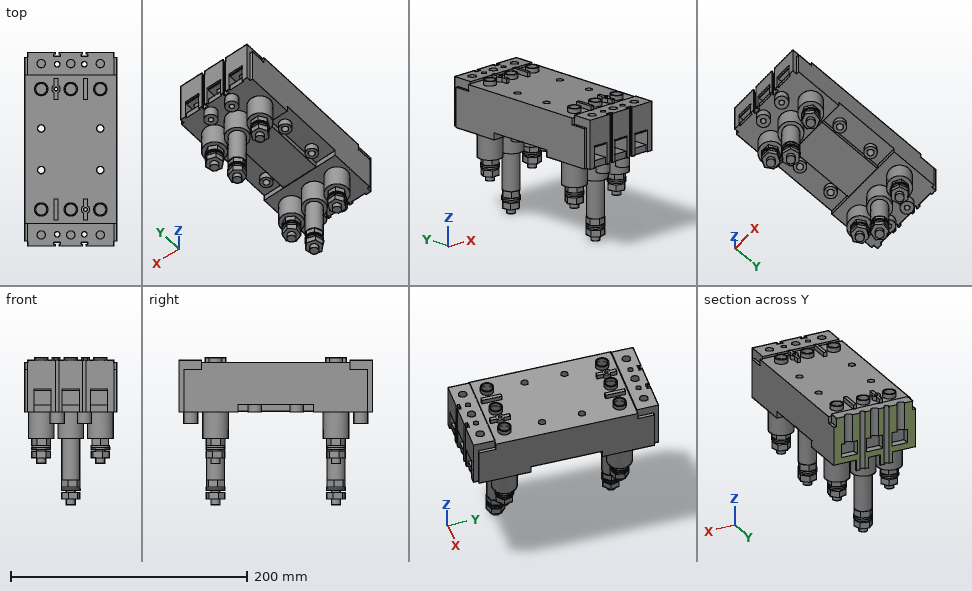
import cadquery as cq

body_width = 78.2
body_length = 155.5
body_height = 42.0
end_width = 73.0
overall_length = 164.0
end_height = 44.0
end_depth = 19.2
shoulder_height = 36.0
end_inner_y = overall_length / 2 - end_depth

pole_pitch = 25.0
pole_x = (-pole_pitch, 0.0, pole_pitch)
stud_y = 51.0

relief_length = 63.5
relief_height = 6.2
core_width = 36.0
core_clearance = 0.5
mount_y = 17.6
mount_boss_diameter = 11.4
mount_hole_diameter = 6.0

screw_y = 72.5
screw_hole_diameter = 7.0
opening_x = (-24.0, 0.0, 24.0)
opening_width = 14.6
opening_height = 19.6
opening_setback = 1.5
chamber_floor = 6.0
chamber_ceiling = 18.1
chamber_depth = 16.0
slot_x = 11.6
slot_neck_width = 3.0
slot_wide_width = 5.3
slot_neck_depth = 1.4
slot_depth = 3.2
post_x = 11.5
post_y = 72.0
post_diameter = 12.0
post_length = 9.8
post_hole_diameter = 4.5

raised_top = 46.0
collar_diameter = 11.4
collar_bore = 9.4
collar_bore_depth = 12.0
key_x = 12.5
key_width = 3.0
key_length = 17.6
key_boss_diameter = 7.0
key_hole_diameter = 3.0

sleeve_diameter = 22.0
sleeve_bottom = -22.5
tube_diameter = 15.5
tube_length = 35.0
stud_diameter = 7.7
stud_bottom = -43.5
hex_corner_diameter = 16.1
upper_nut_height = 6.0
washer_diameter = 16.1
lock_washer_diameter = 16.0
washer_thickness = 1.5
lower_nut_top = -33.0
lower_nut_height = 5.7
stud_specs = (
    (-pole_pitch, 0.0, 2.0, -1.0),
    (0.0, tube_length, 12.5, 17.0),
    (pole_pitch, 0.0, 32.0, 42.0),
)


def block(x_size, y_size, z_low, z_high, x=0.0, y=0.0):
    """Upright box centred on (x, y) between two levels."""
    box = cq.Workplane("XY").box(x_size, y_size, z_high - z_low, centered=(True, True, False))
    return box.translate((x, y, z_low))


def rod(diameter, z_low, z_high, x=0.0, y=0.0):
    """Upright cylinder centred on (x, y) between two levels."""
    return cq.Workplane("XY").circle(diameter / 2).extrude(z_high - z_low).translate((x, y, z_low))


def hex_nut(z_low, z_high, turn):
    """Hexagonal prism on the Z axis, turned about it."""
    prism = cq.Workplane("XY").polygon(6, hex_corner_diameter).extrude(z_high - z_low)
    return prism.rotate((0, 0, 0), (0, 0, 1), turn).translate((0, 0, z_low))


def make_housing():
    """Main body with shoulders and the two taller terminal blocks."""
    housing = block(body_width, body_length, 0, shoulder_height)
    housing = housing.union(block(body_width, 2 * end_inner_y, 0, body_height))
    for side in (-1, 1):
        centre_y = side * (overall_length - end_depth) / 2
        housing = housing.union(block(end_width, end_depth, 0, end_height, y=centre_y))
    return housing


def add_underside(housing):
    """Side reliefs under the middle, leaving a core and four drilled mounting bosses."""
    housing = housing.cut(block(body_width, relief_length, 0, relief_height))
    housing = housing.union(block(core_width, relief_length, core_clearance, relief_height))
    for x in (-pole_pitch, pole_pitch):
        for y in (-mount_y, mount_y):
            housing = housing.union(rod(mount_boss_diameter, 0, relief_height, x, y))
            housing = housing.cut(rod(mount_hole_diameter, 0, body_height, x, y))
    return housing


def cut_terminals(housing, side):
    """Wire openings, chambers and screw holes of one terminal block."""
    end_y = side * overall_length / 2
    for x in opening_x:
        housing = housing.cut(block(opening_width, 2 * opening_setback, 0, opening_height, x, end_y))
        housing = housing.cut(
            block(opening_width, 2 * chamber_depth, chamber_floor, chamber_ceiling, x, end_y)
        )
    for x in pole_x:
        housing = housing.cut(rod(screw_hole_diameter, chamber_ceiling, end_height, x, side * screw_y))
    return housing


def cut_end_slots(housing, side):
    """Two full-height T-slots in one end face."""
    end_y = side * overall_length / 2
    wide_depth = slot_depth - slot_neck_depth
    wide_y = end_y - side * (slot_neck_depth + wide_depth / 2)
    for x in (-slot_x, slot_x):
        housing = housing.cut(block(slot_neck_width, 2 * slot_depth, 0, end_height, x, end_y))
        housing = housing.cut(block(slot_wide_width, wide_depth, 0, end_height, x, wide_y))
    return housing


def add_posts(housing, side):
    """Two drilled posts below one terminal block."""
    for x in (-post_x, post_x):
        housing = housing.union(rod(post_diameter, -post_length, 0, x, side * post_y))
        housing = housing.cut(rod(post_hole_diameter, -post_length, end_height, x, side * post_y))
    return housing


def add_top_features(housing, side):
    """Bored collars and two keys; one key carries a boss with a through hole."""
    y = side * stud_y
    for x in pole_x:
        housing = housing.union(rod(collar_diameter, body_height, raised_top, x, y))
        housing = housing.cut(rod(collar_bore, raised_top - collar_bore_depth, raised_top, x, y))
    for x in (-key_x, key_x):
        housing = housing.union(block(key_width, key_length, body_height, raised_top, x, y))
    bossed_x = -side * key_x
    housing = housing.union(rod(key_boss_diameter, body_height, raised_top, bossed_x, y))
    return housing.cut(rod(key_hole_diameter, 0, raised_top, bossed_x, y))


def make_stud(extra_length, upper_turn, lower_turn):
    """Sleeve, optional tube, nuts, washers and threaded end on the Z axis."""
    stud = rod(sleeve_diameter, sleeve_bottom, 0)
    seat = sleeve_bottom - extra_length
    if extra_length > 0:
        stud = stud.union(rod(tube_diameter, seat, sleeve_bottom))
    stud = stud.union(rod(stud_diameter, stud_bottom - extra_length, seat))

    upper_nut_bottom = seat - upper_nut_height
    stud = stud.union(hex_nut(upper_nut_bottom, seat, upper_turn))
    washer_bottom = upper_nut_bottom - washer_thickness
    stud = stud.union(rod(lock_washer_diameter, washer_bottom, upper_nut_bottom))
    stud = stud.union(rod(washer_diameter, washer_bottom - washer_thickness, washer_bottom))

    nut_top = lower_nut_top - extra_length
    return stud.union(hex_nut(nut_top - lower_nut_height, nut_top, lower_turn))


def add_studs(housing):
    """Three studs at the -Y end and their mirror images at the +Y end."""
    for x, extra_length, upper_turn, lower_turn in stud_specs:
        stud = make_stud(extra_length, upper_turn, lower_turn).translate((x, -stud_y, 0))
        housing = housing.union(stud).union(stud.mirror("XZ"))
    return housing


part = add_underside(make_housing())
for end_side in (-1, 1):
    part = cut_terminals(part, end_side)
    part = cut_end_slots(part, end_side)
    part = add_posts(part, end_side)
    part = add_top_features(part, end_side)
result = add_studs(part)